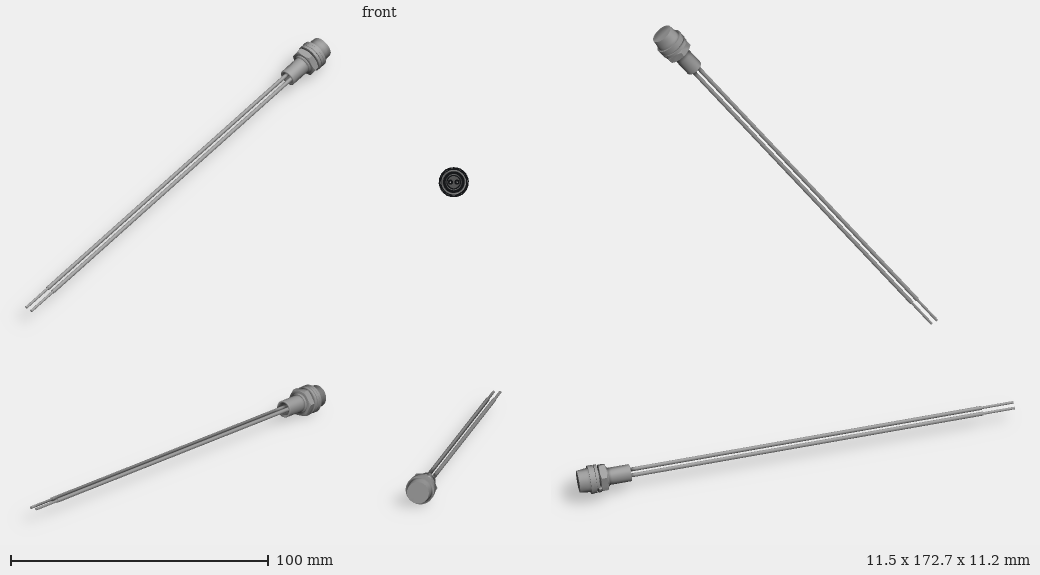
import cadquery as cq
import math

TOTAL_LENGTH = 172.7
FULL_TURN = 360

LENS_FACE_RADIUS = 4.3
LENS_BASE_RADIUS = 4.8
LENS_LENGTH = 4.3

FLANGE_DIAMETER = 11.2
FLANGE_RADIUS = FLANGE_DIAMETER / 2
FLANGE_START = LENS_LENGTH
FLANGE_END = 5.4
SLEEVE_DIAMETER = 6.7
SLEEVE_RADIUS = SLEEVE_DIAMETER / 2
SLEEVE_END = 20.7
BORE_RADIUS = 2.6
RIM_FILLET = 0.3
BORE_DEPTH = 4.3
BORE_FLOOR = SLEEVE_END - BORE_DEPTH

GASKET_RADIUS = 5.5
GASKET_END = 6.5

WASHER_INNER_RADIUS = 3.6
WASHER_OUTER_RADIUS = 5.5
WASHER_THICKNESS = 1.12
WASHER_SPLIT_ANGLE = 8.0
WASHER_START_ANGLE = 164.0

NUT_SIDES = 6
NUT_START = 8.5
NUT_END = 11.2
NUT_ACROSS_FLATS = 10.0
NUT_TURN = 3.8
NUT_FACE_RADIUS = NUT_ACROSS_FLATS / 2
NUT_CHAMFER_ANGLE = 30.0
COLLAR_RADIUS = 4.0
COLLAR_END = 12.0
COLLAR_CHAMFER = 0.3

WIRE_SPACING = 2.6
INSULATION_RADIUS = 0.78
INSULATION_END = 160.1
CORE_RADIUS = 0.5
WIRE_POSITIONS = [-WIRE_SPACING / 2, WIRE_SPACING / 2]


def cylinder(radius, start, end, x=0):
    """Cylinder along -Y between two distances from the lamp face."""
    return cq.Workplane("XZ", origin=(x, -start, 0)).circle(radius).extrude(end - start)


def turned(outline):
    """Solid of revolution about the Y axis."""
    return outline.revolve(FULL_TURN, (0, 0, 0), (1, 0, 0))


def make_lens():
    outline = (
        cq.Workplane("YZ")
        .lineTo(0, LENS_FACE_RADIUS)
        .lineTo(-LENS_LENGTH, LENS_BASE_RADIUS)
        .lineTo(-LENS_LENGTH, 0)
        .close()
    )
    return turned(outline)


def make_housing():
    outline = (
        cq.Workplane("YZ")
        .moveTo(-FLANGE_START, 0)
        .lineTo(-FLANGE_START, FLANGE_RADIUS)
        .lineTo(-FLANGE_END, FLANGE_RADIUS)
        .lineTo(-FLANGE_END, SLEEVE_RADIUS)
        .lineTo(-SLEEVE_END, SLEEVE_RADIUS)
        .lineTo(-SLEEVE_END, 0)
        .close()
    )
    body = turned(outline)
    body = body.cut(cylinder(BORE_RADIUS, BORE_FLOOR, SLEEVE_END))
    return body.faces("<Y").edges().fillet(RIM_FILLET)


def make_gasket():
    disc = cylinder(GASKET_RADIUS, FLANGE_END, GASKET_END)
    return disc.cut(cylinder(SLEEVE_RADIUS, FLANGE_END, GASKET_END))


def make_spring_washer():
    """Rectangular section swept along one helical turn that fills the space up to the nut."""
    rise = NUT_START - GASKET_END - WASHER_THICKNESS
    mean_radius = (WASHER_INNER_RADIUS + WASHER_OUTER_RADIUS) / 2
    turn = 1 - WASHER_SPLIT_ANGLE / FULL_TURN
    helix = cq.Wire.makeHelix(rise / turn, rise, mean_radius, lefthand=True)
    coil = (
        cq.Workplane("XZ", origin=(mean_radius, 0, 0))
        .rect(WASHER_OUTER_RADIUS - WASHER_INNER_RADIUS, WASHER_THICKNESS)
        .sweep(helix, isFrenet=True)
    )
    return (
        coil.rotate((0, 0, 0), (0, 0, 1), WASHER_START_ANGLE)
        .rotate((0, 0, 0), (1, 0, 0), 90)
        .translate((0, -GASKET_END - WASHER_THICKNESS / 2, 0))
    )


def make_nut():
    corner_radius = NUT_ACROSS_FLATS / 2 / math.cos(math.pi / NUT_SIDES)
    hexagon = (
        cq.Workplane("XZ", origin=(0, -NUT_START, 0))
        .polygon(NUT_SIDES, 2 * corner_radius)
        .extrude(NUT_END - NUT_START)
        .rotate((0, 0, 0), (0, 1, 0), -NUT_TURN)
    )
    chamfer_length = (corner_radius - NUT_FACE_RADIUS) * math.tan(math.radians(NUT_CHAMFER_ANGLE))
    envelope_outline = (
        cq.Workplane("YZ")
        .moveTo(-NUT_START, 0)
        .lineTo(-NUT_START, NUT_FACE_RADIUS)
        .lineTo(-NUT_START - chamfer_length, corner_radius)
        .lineTo(-NUT_END + chamfer_length, corner_radius)
        .lineTo(-NUT_END, NUT_FACE_RADIUS)
        .lineTo(-NUT_END, 0)
        .close()
    )
    collar = cylinder(COLLAR_RADIUS, NUT_END, COLLAR_END).faces("<Y").chamfer(COLLAR_CHAMFER)
    bore = cylinder(SLEEVE_RADIUS, NUT_START, COLLAR_END)
    return hexagon.intersect(turned(envelope_outline)).union(collar).cut(bore)


def make_core(x):
    return cylinder(CORE_RADIUS, BORE_FLOOR, TOTAL_LENGTH, x)


def make_insulation(x):
    return cylinder(INSULATION_RADIUS, BORE_FLOOR, INSULATION_END, x).cut(make_core(x))


lens = make_lens()
housing = make_housing()
gasket = make_gasket()
spring_washer = make_spring_washer()
nut = make_nut()
insulations = [make_insulation(x).val() for x in WIRE_POSITIONS]
cores = [make_core(x).val() for x in WIRE_POSITIONS]

result = cq.Compound.makeCompound(
    [
        lens.val(),
        housing.val(),
        gasket.val(),
        spring_washer.val(),
        nut.val(),
        *insulations,
        *cores,
    ]
)